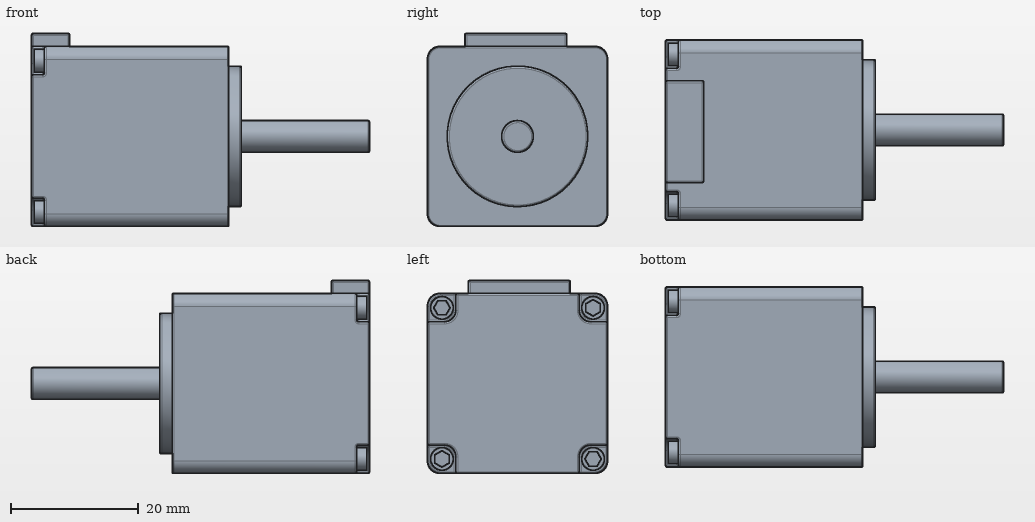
import cadquery as cq
import math

total_length = 52.9
body_width = 28.2
body_length = 30.85
corner_radius = 2.0
edge_radius = 0.3
front_edge_radius = 0.2

flange_diameter = 22.0
flange_thickness = 2.0
shaft_diameter = 4.95

connector_length = 6.0
connector_width = 16.0
connector_height = 2.0
connector_offset_y = -0.25

pocket_depth = 2.0
pocket_size = 4.45
pocket_radius = 1.8
screw_inset = 2.3
screw_head_diameter = 3.55
screw_head_recess = 0.4
hex_across_flats = 2.2
hex_depth = 1.0

half_width = body_width / 2
screw_position = half_width - screw_inset
corner_angles = (0, 90, 180, 270)


def turned(shape, angle):
    """Turn a shape about the motor axis."""
    return shape.rotate((0, 0, 0), (1, 0, 0), angle)


def make_pocket():
    """Cutter for the +Y, +Z corner; it reaches past the outer faces and rounds the floor edge."""
    overshoot = corner_radius
    size = pocket_size + overshoot
    centre = half_width - pocket_size + size / 2
    return (
        cq.Workplane("YZ")
        .center(centre, centre)
        .rect(size, size)
        .extrude(pocket_depth)
        .edges("|X and <Y and <Z")
        .fillet(pocket_radius)
        .faces(">X")
        .edges()
        .fillet(edge_radius)
    )


def is_rear_outer_edge(edge):
    """True for edges of the rear face and for pocket edges lying on the outer sides."""
    tolerance = 0.005
    middle = edge.positionAt(0.5)
    on_rear_face = middle.x < tolerance
    in_pocket = middle.x < pocket_depth + tolerance
    on_side = max(abs(middle.y), abs(middle.z)) > half_width - corner_radius / 2
    return on_rear_face or (in_pocket and on_side)


def make_body():
    """Square housing with rounded long edges, four rear corner pockets and rounded rims."""
    body = (
        cq.Workplane("YZ")
        .rect(body_width, body_width)
        .extrude(body_length)
        .edges("|X")
        .fillet(corner_radius)
        .faces(">X")
        .edges()
        .fillet(front_edge_radius)
    )
    pocket = make_pocket()
    for angle in corner_angles:
        body = body.cut(turned(pocket, angle))
    rear_edges = [edge for edge in body.edges().vals() if is_rear_outer_edge(edge)]
    return body.newObject(rear_edges).fillet(edge_radius)


def make_screw_head():
    """Socket screw head standing on the floor of the +Y, +Z pocket."""
    plane = cq.Workplane("YZ", origin=(screw_head_recess, screw_position, screw_position))
    head = plane.circle(screw_head_diameter / 2).extrude(pocket_depth - screw_head_recess)
    socket = plane.polygon(6, hex_across_flats / math.cos(math.pi / 6)).extrude(hex_depth)
    return head.cut(socket)


def make_front_disc(diameter, length):
    """Round boss on the front face with a rounded front rim."""
    return (
        cq.Workplane("YZ", origin=(body_length, 0, 0))
        .circle(diameter / 2)
        .extrude(length)
        .faces(">X")
        .edges()
        .fillet(edge_radius)
    )


def make_connector():
    """Connector block flush with the rear face, seated on the housing top."""
    return (
        cq.Workplane("XY", origin=(connector_length / 2, connector_offset_y, half_width))
        .rect(connector_length, connector_width)
        .extrude(connector_height)
        .edges("|Z or >Z")
        .fillet(edge_radius)
    )


result = (
    make_body()
    .union(make_front_disc(flange_diameter, flange_thickness))
    .union(make_front_disc(shaft_diameter, total_length - body_length))
    .union(make_connector())
)
screw_head = make_screw_head()
for angle in corner_angles:
    result = result.union(turned(screw_head, angle))